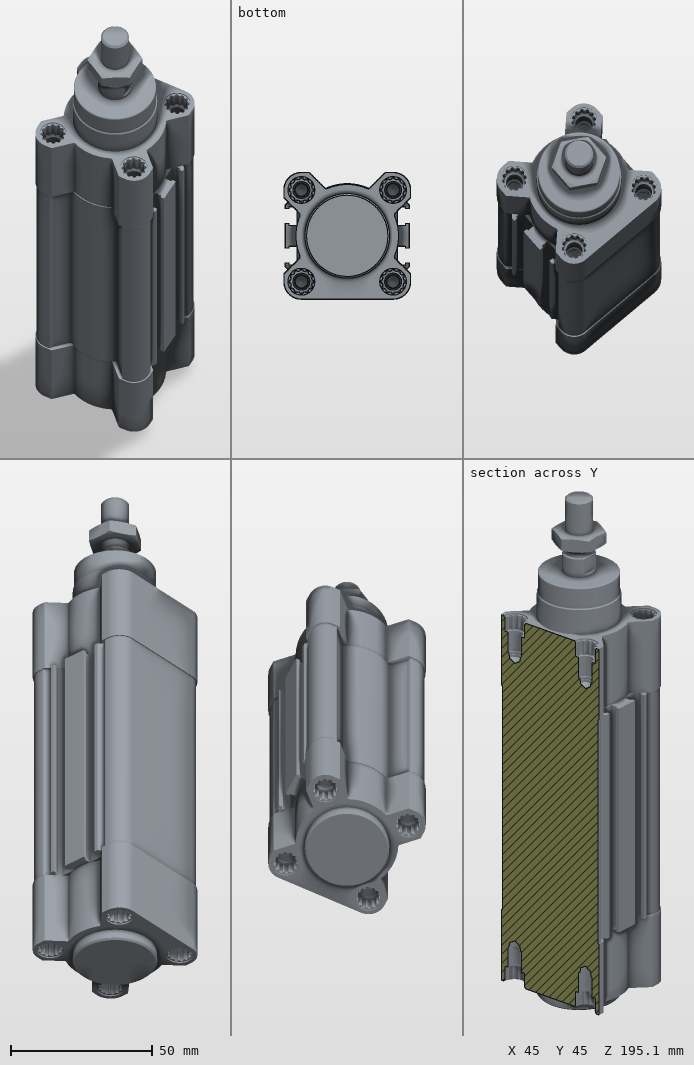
import cadquery as cq
import math


COVER_SIZE = 45.0
MOUNTING_LENGTH = 144.0
COVER_LENGTH = 28.0
HOLE_OFFSET = 16.25
COVER_BULGE_RADIUS = 18.2
COVER_RELIEF_OFFSET = 9.0
COVER_VALLEY_FILLET = 0.6
TUBE_INSET = 0.45
TUBE_BULGE_RADIUS = 18.5
TUBE_RELIEF_OFFSET = 7.0
TUBE_VALLEY_FILLET = 1.0
TUBE_FLANK_END = 13.7
TUBE_CORNER_EDGE = 14.5
TUBE_CORNER_FILLET = 0.7

SLOT_FLOOR = 17.9
SLOT_CORNER_CHAMFER = 1.2
LIP_THICKNESS = 1.4
RAIL_HALF_WIDTH = 4.4
RAIL_NECK_HALF_WIDTH = 3.7
SLOT_OPENING_END = 9.6
SLOT_INNER_END = 10.3
NOTCH_START = 10.9

SCREW_RECESS_DIAMETER = 9.5
SCREW_RECESS_DEPTH = 0.5
SCREW_SOCKET_DIAMETER = 8.8
SCREW_SOCKET_DEPTH = 6.0
SCREW_LOBE_RADIUS = 0.7
SCREW_LOBE_COUNT = 12
SCREW_LOBE_ROOT_DIAMETER = 7.6
SCREW_THREAD_DIAMETER = 6.0
SCREW_THREAD_DEPTH = 14.0
SCREW_CORE_DIAMETER = 4.92
SCREW_CORE_DEPTH = 15.0
SCREW_DRILL_DIAMETER = 4.46
SCREW_DRILL_DEPTH = 16.0
DRILL_POINT_ANGLE = 118.0

SPIGOT_DIAMETER = 30.0
REAR_SPIGOT_LENGTH = 4.0
REAR_SPIGOT_CHAMFER = 0.6
FRONT_SPIGOT_LENGTH = 10.0
FRONT_SPIGOT_CHAMFER = 0.4
COLLAR_DIAMETER = 29.2
COLLAR_LENGTH = 8.0
COLLAR_FILLET = 0.5

NUT_WIDTH = 17.0
NUT_THICKNESS = 5.0
NUT_FROM_TIP = 13.0
NUT_BEVEL_ANGLE = 15.0

ROD_DIAMETER = 12.0
ROD_PROJECTION = 47.1
THREAD_DIAMETER = 10.0
THREAD_LENGTH = 22.0
THREAD_TIP_CHAMFER = 0.7
RUNOUT_DIAMETER = 9.0
UNDERCUT_DIAMETER = 8.2
UNDERCUT_WIDTH = 2.0
FLATS_WIDTH = 10.0
FLATS_LENGTH = 6.0

cover_half = COVER_SIZE / 2
tube_half = cover_half - TUBE_INSET
tube_length = MOUNTING_LENGTH - 2 * COVER_LENGTH
collar_base = MOUNTING_LENGTH + FRONT_SPIGOT_LENGTH
collar_top = collar_base + COLLAR_LENGTH
rod_tip = MOUNTING_LENGTH + ROD_PROJECTION
shoulder = rod_tip - THREAD_LENGTH
nut_top = rod_tip - NUT_FROM_TIP
nut_bottom = nut_top - NUT_THICKNESS
SIDES = (-1, 1)


def level(height):
    return cq.Workplane("XY").workplane(offset=height)


def cylinder(diameter, bottom, length):
    return level(bottom).circle(diameter / 2).extrude(length)


def revolved(profile):
    """Turn a closed XZ profile about the Z axis."""
    return profile.close().revolve(360, (0, 0, 0), (0, 1, 0))


def square_block(half, bottom, length):
    """Square bar whose corner rounds are centred on the screw holes."""
    block = level(bottom).rect(2 * half, 2 * half).extrude(length)
    return block.edges("|Z").fillet(half - HOLE_OFFSET)


def valley_point(bulge_radius, relief_offset):
    """Distances along and out from the axis where a 45 degree flank meets the round bulge."""
    half_offset = relief_offset / 2
    along = math.sqrt(bulge_radius**2 / 2 - half_offset**2) - half_offset
    return along, along + relief_offset


def side_relief(half, bulge_radius, relief_offset, flank_end, corner_edge, bottom, length):
    """Cutter for the -Y side that leaves a round bulge between two 45 degree flanks.

    A flank that ends short of the corner edge is joined to it by a steeper wall.
    """
    along, outward = valley_point(bulge_radius, relief_offset)
    flank_end_outward = flank_end + relief_offset
    outline = level(bottom).moveTo(-corner_edge, -half)
    if flank_end < corner_edge:
        outline = outline.lineTo(-flank_end, -flank_end_outward)
    outline = (
        outline.lineTo(-along, -outward)
        .threePointArc((0, -bulge_radius), (along, -outward))
        .lineTo(flank_end, -flank_end_outward)
    )
    if flank_end < corner_edge:
        outline = outline.lineTo(corner_edge, -half)
    return outline.close().extrude(length)


def fillet_upright_edges(body, places, radius):
    """Round the Z-parallel edges that stand at the given XY places."""
    tolerance = 0.01
    edges = [
        edge for edge in body.edges("|Z").vals()
        if any(math.hypot(edge.Center().x - x, edge.Center().y - y) < tolerance for x, y in places)
    ]
    return body.newObject(edges).fillet(radius)


def cover(bottom):
    corner_edge = cover_half - COVER_RELIEF_OFFSET
    body = square_block(cover_half, bottom, COVER_LENGTH)
    relief = side_relief(
        cover_half, COVER_BULGE_RADIUS, COVER_RELIEF_OFFSET, corner_edge, corner_edge, bottom, COVER_LENGTH
    )
    for turn in (-90, 0, 90):
        body = body.cut(relief.rotate((0, 0, 0), (0, 0, 1), turn))
    along, outward = valley_point(COVER_BULGE_RADIUS, COVER_RELIEF_OFFSET)
    valleys = [(sx * along, -outward) for sx in SIDES]
    valleys += [(sx * outward, sy * along) for sx in SIDES for sy in SIDES]
    return fillet_upright_edges(body, valleys, COVER_VALLEY_FILLET)


def sensor_slot(side):
    """Undercut slot in the -X face of the tube, beside the central rail."""
    lip = tube_half - LIP_THICKNESS
    return (
        level(COVER_LENGTH)
        .moveTo(-tube_half, side * RAIL_HALF_WIDTH)
        .lineTo(-lip, side * RAIL_HALF_WIDTH)
        .lineTo(-lip, side * RAIL_NECK_HALF_WIDTH)
        .lineTo(-SLOT_FLOOR, side * RAIL_NECK_HALF_WIDTH)
        .lineTo(-SLOT_FLOOR, side * (SLOT_INNER_END - SLOT_CORNER_CHAMFER))
        .lineTo(-SLOT_FLOOR - SLOT_CORNER_CHAMFER, side * SLOT_INNER_END)
        .lineTo(-lip, side * SLOT_INNER_END)
        .lineTo(-lip, side * SLOT_OPENING_END)
        .lineTo(-tube_half, side * SLOT_OPENING_END)
        .close()
        .extrude(tube_length)
    )


def lip_notch(side):
    """V notch in the -X face of the tube, between a slot lip and the corner."""
    depth = (TUBE_CORNER_EDGE - NOTCH_START) / 2
    return (
        level(COVER_LENGTH)
        .moveTo(-tube_half, side * NOTCH_START)
        .lineTo(-tube_half + depth, side * (NOTCH_START + depth))
        .lineTo(-tube_half, side * TUBE_CORNER_EDGE)
        .close()
        .extrude(tube_length)
    )


def tube():
    body = square_block(tube_half, COVER_LENGTH, tube_length)
    body = body.cut(side_relief(
        tube_half, TUBE_BULGE_RADIUS, TUBE_RELIEF_OFFSET, TUBE_FLANK_END, TUBE_CORNER_EDGE,
        COVER_LENGTH, tube_length
    ))
    for side in SIDES:
        for cutter in (sensor_slot(side), lip_notch(side)):
            body = body.cut(cutter).cut(cutter.mirror("YZ"))
    corners = [(sx * TUBE_CORNER_EDGE, -tube_half) for sx in SIDES]
    corners += [(sx * tube_half, sy * TUBE_CORNER_EDGE) for sx in SIDES for sy in SIDES]
    body = fillet_upright_edges(body, corners, TUBE_CORNER_FILLET)
    along, outward = valley_point(TUBE_BULGE_RADIUS, TUBE_RELIEF_OFFSET)
    valleys = [(sx * along, -outward) for sx in SIDES]
    return fillet_upright_edges(body, valleys, TUBE_VALLEY_FILLET)


def screw_hole():
    """Blind hole opening upward at Z = 0: recess, lobed socket, thread bore and drill point."""
    recess_radius = SCREW_RECESS_DIAMETER / 2
    root_radius = SCREW_LOBE_ROOT_DIAMETER / 2
    thread_radius = SCREW_THREAD_DIAMETER / 2
    core_radius = SCREW_CORE_DIAMETER / 2
    drill_radius = SCREW_DRILL_DIAMETER / 2
    tip_depth = drill_radius / math.tan(math.radians(DRILL_POINT_ANGLE / 2))
    bore = revolved(
        cq.Workplane("XZ")
        .lineTo(recess_radius, 0)
        .lineTo(recess_radius, -SCREW_RECESS_DEPTH)
        .lineTo(root_radius, -SCREW_RECESS_DEPTH)
        .lineTo(root_radius, -SCREW_SOCKET_DEPTH)
        .lineTo(thread_radius, -SCREW_SOCKET_DEPTH)
        .lineTo(thread_radius, -SCREW_THREAD_DEPTH)
        .lineTo(core_radius, -SCREW_THREAD_DEPTH)
        .lineTo(core_radius, -SCREW_CORE_DEPTH)
        .lineTo(drill_radius, -SCREW_CORE_DEPTH)
        .lineTo(drill_radius, -SCREW_DRILL_DEPTH)
        .lineTo(0, -SCREW_DRILL_DEPTH - tip_depth)
    )
    lobes = (
        cq.Workplane("XY")
        .polarArray(SCREW_SOCKET_DIAMETER / 2 - SCREW_LOBE_RADIUS, 0, 360, SCREW_LOBE_COUNT)
        .circle(SCREW_LOBE_RADIUS)
        .extrude(-SCREW_SOCKET_DEPTH)
    )
    return bore.union(lobes)


def make_housing():
    """Tube and end covers with the spigots, collar, screw holes and rod bore."""
    body = cover(0).union(tube()).union(cover(MOUNTING_LENGTH - COVER_LENGTH))
    rear_spigot = cylinder(SPIGOT_DIAMETER, -REAR_SPIGOT_LENGTH, REAR_SPIGOT_LENGTH)
    front_spigot = cylinder(SPIGOT_DIAMETER, MOUNTING_LENGTH, FRONT_SPIGOT_LENGTH)
    collar = cylinder(COLLAR_DIAMETER, collar_base, COLLAR_LENGTH)
    body = body.union(rear_spigot.faces("<Z").chamfer(REAR_SPIGOT_CHAMFER))
    body = body.union(front_spigot.faces(">Z").chamfer(FRONT_SPIGOT_CHAMFER))
    body = body.union(collar.faces(">Z").edges().fillet(COLLAR_FILLET))
    front_hole = screw_hole().translate((0, 0, MOUNTING_LENGTH))
    rear_hole = screw_hole().mirror("XY")
    for sx in SIDES:
        for sy in SIDES:
            place = (sx * HOLE_OFFSET, sy * HOLE_OFFSET, 0)
            body = body.cut(front_hole.translate(place)).cut(rear_hole.translate(place))
    return body.cut(cylinder(ROD_DIAMETER, MOUNTING_LENGTH, collar_top - MOUNTING_LENGTH))


def make_rod():
    """Piston rod with wrench flats, an undercut and a plain thread end."""
    shaft = cylinder(ROD_DIAMETER, MOUNTING_LENGTH, shoulder - MOUNTING_LENGTH)
    flats = (
        level(shoulder - FLATS_LENGTH)
        .rect(2 * ROD_DIAMETER, 2 * ROD_DIAMETER)
        .rect(FLATS_WIDTH, ROD_DIAMETER)
        .extrude(FLATS_LENGTH)
    )
    thread_radius = THREAD_DIAMETER / 2
    runout_radius = RUNOUT_DIAMETER / 2
    undercut_radius = UNDERCUT_DIAMETER / 2
    undercut_top = shoulder + UNDERCUT_WIDTH
    undercut_taper = UNDERCUT_WIDTH / 3
    thread = revolved(
        cq.Workplane("XZ")
        .moveTo(0, shoulder)
        .lineTo(runout_radius, shoulder)
        .lineTo(undercut_radius, shoulder + undercut_taper)
        .lineTo(undercut_radius, undercut_top - undercut_taper)
        .lineTo(runout_radius, undercut_top)
        .lineTo(thread_radius, nut_bottom)
        .lineTo(thread_radius, rod_tip - THREAD_TIP_CHAMFER)
        .lineTo(thread_radius - THREAD_TIP_CHAMFER, rod_tip)
        .lineTo(0, rod_tip)
    )
    return shaft.cut(flats).union(thread)


def make_nut():
    """Hexagon nut with two flats facing X and slightly bevelled corners."""
    inner_radius = NUT_WIDTH / 2
    corner_radius = NUT_WIDTH / math.sqrt(3)
    bevel = (corner_radius - inner_radius) * math.tan(math.radians(NUT_BEVEL_ANGLE))
    hexagon = level(nut_bottom).polygon(6, NUT_WIDTH, circumscribed=True).extrude(NUT_THICKNESS)
    envelope = revolved(
        cq.Workplane("XZ")
        .moveTo(0, nut_bottom)
        .lineTo(inner_radius, nut_bottom)
        .lineTo(corner_radius, nut_bottom + bevel)
        .lineTo(corner_radius, nut_top - bevel)
        .lineTo(inner_radius, nut_top)
        .lineTo(0, nut_top)
    )
    return hexagon.intersect(envelope).cut(cylinder(THREAD_DIAMETER, nut_bottom, NUT_THICKNESS))


housing = make_housing()
rod = make_rod()
nut = make_nut()
result = cq.Compound.makeCompound([housing.val(), rod.val(), nut.val()])